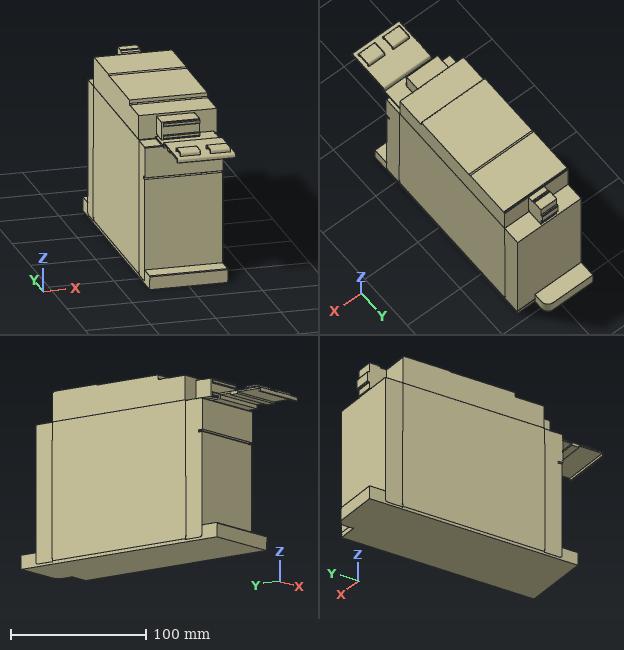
import cadquery as cq
import math


width = 60.0
core_half = 62.2
block_half = 77.5
seam_z = 107.5

base_half = 91.5
base_front_lean = 0.5
base_edge_chamfer = 0.6
flange_top_z = 11.0
floor_z = 2.0
block_corner_radius = 2.1
rear_flange_width = 43.8
rear_flange_radius = 6.5

core_bottom_z = 2.5
core_flare = 0.5
core_flare_z = 4.5

front_block_top_z = 107.0
catch_overhang = 0.6
catch_chamfer = 0.6
slot_bottom_z = 81.6
slot_top_z = 83.1
slot_bottom_y = -74.4

housing_rear_y = core_half
housing_front_y = -61.8
lid_z = 130.5
shelf_z = 130.0
step_z = 126.3
step_y = -36.3
lid_rear_y = 61.0
lid_front_y = 21.5
lid_rear_slope = 0.6
lid_front_slope = 1.7
step_chamfer = 0.9

rear_plug_x = 22.7
rear_plug_width = 15.0
rear_plug_bottom_z = 109.5
rear_plug_top_z = 131.2
rear_plug_end_y = 77.0
rear_plug_low_z = 129.7
plug_step_y = 69.0
plug_step_z = 130.8
plug_slope_start_y = 68.0
plug_slope_end_y = 66.5
latch_bottom_z = 114.5
latch_top_z = 123.3
latch_depth = 1.7
latch_chamfer = 0.6

front_plug_x = 13.5
front_plug_right_x = 42.7
front_plug_length = 13.9
front_plug_bottom_z = 110.7
front_plug_top_z = 124.5
lip_x = 15.0
lip_depth = 0.9
lip_height = 3.0
lip_chamfer = 0.6
lip_inset = 0.6

plate_x = 12.8
plate_width = 44.7
sheet = 1.3
joggle_rear_y = -83.1
joggle_y = -83.5
joggle_rise = 3.0
plate_tip_y = -122.3
plate_tip_z = 108.4
plate_bend_radius = 1.7
rib_rear_y = -94.3
rib_length = 6.5
rib_depth = 1.3

clip_left_edges = (16.2, 39.3)
clip_width = 15.4
clip_rear_y = -105.4
clip_length = 12.5
clip_rise = 3.0
clip_bend_radius = 1.7

plate_low_top_z = seam_z + sheet
plate_top_z = plate_low_top_z + joggle_rise


def box(x0, x1, y0, y1, z0, z1):
    """Block between two opposite corners."""
    return cq.Workplane("XY").box(x1 - x0, y1 - y0, z1 - z0, centered=False).translate((x0, y0, z0))


def side_profile(points, x, depth):
    """Closed (y, z) outline swept from x towards +X."""
    return cq.Workplane("YZ").polyline(points).close().extrude(depth).translate((x, 0, 0))


def make_core():
    """Tall middle body whose end faces lean out slightly towards the bottom."""
    flared_half = core_half + core_flare
    return side_profile(
        [
            (-core_half, core_bottom_z),
            (core_half, core_bottom_z),
            (core_half, core_flare_z),
            (flared_half, core_flare_z),
            (core_half, seam_z),
            (-core_half, seam_z),
            (-flared_half, core_flare_z),
            (-core_half, core_flare_z),
        ],
        0,
        width,
    )


def make_rear_block(core):
    block = box(0, width, 0, block_half, floor_z, seam_z)
    block = block.edges("|X and >Y and <Z").fillet(block_corner_radius)
    return block.cut(box(0, width, 0, core_half, floor_z, seam_z)).cut(core)


def make_front_block(core):
    """End block with a catch and a slot below it across the front face."""
    catch_y = -block_half - catch_overhang
    catch = box(0, width, catch_y, -core_half, slot_top_z, front_block_top_z)
    catch = catch.edges("|X and <Y and >Z").chamfer(catch_chamfer)
    block = box(0, width, -block_half, 0, floor_z, slot_top_z)
    block = block.edges("|X and <Y and <Z").fillet(block_corner_radius)
    block = block.union(catch)
    block = block.cut(box(0, width, catch_y, slot_bottom_y, slot_bottom_z, slot_top_z))
    return block.cut(box(0, width, -core_half, 0, floor_z, front_block_top_z)).cut(core)


def make_base(seated_bodies):
    """Tray with raised end flanges, recessed for the bodies that sit in it."""
    front_top_y = -base_half - base_front_lean
    tray = side_profile(
        [
            (-base_half, 0),
            (base_half, 0),
            (base_half, flange_top_z),
            (front_top_y + base_edge_chamfer, flange_top_z),
            (front_top_y, flange_top_z - base_edge_chamfer),
        ],
        0,
        width,
    )
    tray = tray.cut(box(rear_flange_width, width, block_half, base_half, 0, flange_top_z))
    rear_corner = cq.selectors.NearestToPointSelector((rear_flange_width, base_half, flange_top_z / 2))
    tray = tray.edges("|Z").edges(rear_corner).fillet(rear_flange_radius)
    for body in seated_bodies:
        tray = tray.cut(body)
    return tray


def make_housing():
    """Upper housing with a slightly raised lid and a lower front step."""
    return side_profile(
        [
            (housing_rear_y, seam_z),
            (housing_rear_y, shelf_z),
            (lid_rear_y + lid_rear_slope, shelf_z),
            (lid_rear_y, lid_z),
            (lid_front_y, lid_z),
            (lid_front_y - lid_front_slope, shelf_z),
            (step_y, shelf_z),
            (step_y, step_z + step_chamfer),
            (step_y - step_chamfer, step_z),
            (housing_front_y, step_z),
            (housing_front_y, seam_z),
        ],
        0,
        width,
    )


def make_rear_connector():
    """Plug with a stepped top and a latch bar on its rear face."""
    plug = side_profile(
        [
            (housing_rear_y, rear_plug_bottom_z),
            (rear_plug_end_y, rear_plug_bottom_z),
            (rear_plug_end_y, rear_plug_top_z),
            (plug_step_y, rear_plug_top_z),
            (plug_step_y, plug_step_z),
            (plug_slope_start_y, plug_step_z),
            (plug_slope_end_y, rear_plug_low_z),
            (housing_rear_y, rear_plug_low_z),
        ],
        rear_plug_x,
        rear_plug_width,
    )
    latch = box(
        rear_plug_x,
        rear_plug_x + rear_plug_width,
        housing_rear_y,
        rear_plug_end_y + latch_depth,
        latch_bottom_z,
        latch_top_z,
    )
    latch = latch.edges("|X and >Y").chamfer(latch_chamfer)
    return plug.union(latch)


def make_front_connector():
    """Plug with two lips across its front face."""
    face_y = housing_front_y - front_plug_length
    plug = box(front_plug_x, front_plug_right_x, face_y, housing_front_y, front_plug_bottom_z, front_plug_top_z)
    lower_lip_z = front_plug_bottom_z + lip_inset
    upper_lip_z = front_plug_top_z - lip_inset - lip_height
    for lip_z in (lower_lip_z, upper_lip_z):
        lip = box(lip_x, front_plug_right_x, face_y - lip_depth, face_y, lip_z, lip_z + lip_height)
        lip = lip.edges("|X and <Y").chamfer(lip_chamfer)
        plug = plug.union(lip)
    return plug


def make_bracket():
    """Joggled sheet plate with a turned-down front edge and a rib underneath."""
    bend_z = plate_top_z - plate_bend_radius
    bend_offset = plate_bend_radius * math.sqrt(0.5)
    joggle_bend_y = joggle_y - plate_bend_radius
    front_bend_y = plate_tip_y + plate_bend_radius
    joggle_bend_middle = (joggle_bend_y + bend_offset, bend_z + bend_offset)
    front_bend_middle = (front_bend_y - bend_offset, bend_z + bend_offset)
    plate = (
        cq.Workplane("YZ")
        .moveTo(housing_front_y, seam_z)
        .lineTo(housing_front_y, plate_low_top_z)
        .lineTo(joggle_rear_y, plate_low_top_z)
        .lineTo(joggle_y, bend_z)
        .threePointArc(joggle_bend_middle, (joggle_bend_y, plate_top_z))
        .lineTo(front_bend_y, plate_top_z)
        .threePointArc(front_bend_middle, (plate_tip_y, bend_z))
        .lineTo(plate_tip_y, plate_tip_z)
        .lineTo(plate_tip_y + sheet, plate_tip_z)
        .lineTo(plate_tip_y + sheet, plate_top_z - sheet)
        .lineTo(joggle_y - sheet, plate_top_z - sheet)
        .lineTo(joggle_y - sheet, seam_z)
        .close()
        .extrude(plate_width)
        .translate((plate_x, 0, 0))
    )
    rib_top_z = plate_top_z - sheet
    rib = box(
        plate_x,
        plate_x + plate_width,
        rib_rear_y - rib_length,
        rib_rear_y,
        rib_top_z - rib_depth,
        rib_top_z,
    )
    return plate.union(rib)


def make_clip(left_x):
    """Bridge-shaped strip standing on the plate, bent down at both ends."""
    outer = box(
        left_x, left_x + clip_width, clip_rear_y - clip_length, clip_rear_y, plate_top_z, plate_top_z + clip_rise
    )
    outer = outer.edges("|X and >Z").fillet(clip_bend_radius)
    opening = box(
        left_x,
        left_x + clip_width,
        clip_rear_y - clip_length + sheet,
        clip_rear_y - sheet,
        plate_top_z,
        plate_top_z + clip_rise - sheet,
    )
    opening = opening.edges("|X and >Z").fillet(clip_bend_radius - sheet)
    return outer.cut(opening)


core = make_core()
rear_block = make_rear_block(core)
front_block = make_front_block(core)
base = make_base([core, rear_block, front_block])
housing = make_housing()
rear_connector = make_rear_connector()
front_connector = make_front_connector()
bracket = make_bracket()
clips = [make_clip(left_x) for left_x in clip_left_edges]

result = cq.Compound.makeCompound(
    [
        base.val(),
        core.val(),
        rear_block.val(),
        front_block.val(),
        housing.val(),
        rear_connector.val(),
        front_connector.val(),
        bracket.val(),
        *[clip.val() for clip in clips],
    ]
)